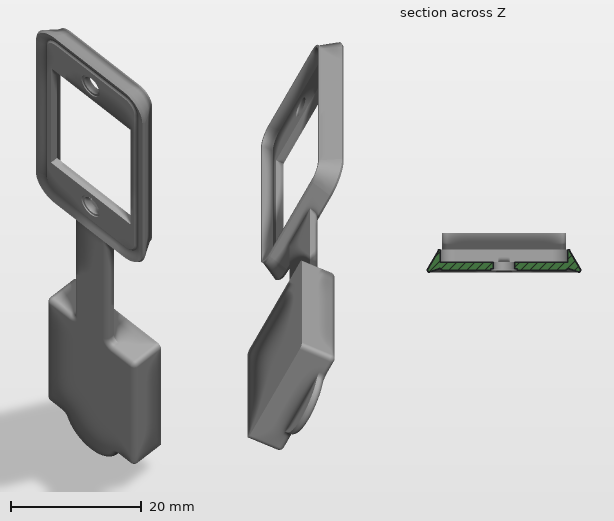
import cadquery as cq

total_height = 93.74
total_depth = 6.1

frame_width = 23.62
frame_height = 40.35
frame_depth = 3.5
corner_radius = 4.33
rim_inset = 0.25
rim_bevel_depth = 0.38
back_inset = 1.67
back_land = 0.28
frame_z = total_height - frame_height / 2

dish_inset = 2.0
dish_depth = 0.6
pad_inset = 2.35
pad_depth = 0.35
plate_thickness = 1.3
back_wall = 0.4

window_width = 17.27
window_height = 22.86
hole_diameter = 3.15
counterbore_diameter = 3.95
counterbore_depth = 0.2
hole_spacing = 29.0

front_setback = 0.25
edge_radius = 0.8
strap_width = 7.12
strap_thickness = 1.6
strap_overlap = 1.2
strap_corner_radius = 1.0
cap_width = 19.05
cap_height = 24.55
cap_bottom_z = 4.15
cap_top_z = cap_bottom_z + cap_height
tab_radius = 5.85
tab_thickness = 1.3
tab_corner_radius = 1.0
pick_margin = 0.1
strap_top_z = total_height - frame_height + strap_overlap


def front_plane(y):
    """Sketch plane at depth y; local x is X, local y is Z, and negative extrusion runs towards +Y."""
    return cq.Workplane(cq.Plane(origin=(0, y, 0), xDir=(1, 0, 0), normal=(0, -1, 0)))


def frame_outline(inset, y):
    """Rounded rectangle lying inside the widest frame outline by the given inset."""
    block = (
        front_plane(y)
        .center(0, frame_z)
        .rect(frame_width - 2 * inset, frame_height - 2 * inset)
        .extrude(-1)
        .edges("|Y")
        .fillet(corner_radius - inset)
    )
    return block.faces("<Y").val().outerWire()


def frame_layer(front_inset, front_y, rear_inset, rear_y):
    """Solid with straight sides between two frame outlines at different depths."""
    outlines = [frame_outline(front_inset, front_y), frame_outline(rear_inset, rear_y)]
    return cq.Workplane(cq.Solid.makeLoft(outlines, True))


def make_frame_body():
    """Outer shape of the frame: bevelled rim, leaning wall and straight land at the back."""
    land_y = frame_depth - back_land
    rim = frame_layer(rim_inset, 0, 0, rim_bevel_depth)
    wall = frame_layer(0, rim_bevel_depth, back_inset, land_y)
    land = frame_layer(back_inset, land_y, back_inset, frame_depth)
    return rim.union(wall).union(land)


def make_dish():
    """Material removed from the front: a shallow dish less the bevelled pad standing in it."""
    dish = frame_layer(rim_inset, 0, dish_inset, dish_depth)
    pad = frame_layer(pad_inset, pad_depth, dish_inset, dish_depth)
    return dish.cut(pad)


def make_back_recess():
    """Recess that thins the frame to a plate behind the pad."""
    inset = back_inset + back_wall
    return frame_layer(inset, pad_depth + plate_thickness, inset, frame_depth)


def make_window():
    return front_plane(0).center(0, frame_z).rect(window_width, window_height).extrude(-frame_depth)


def make_screw_hole(z):
    """Through hole with a shallow counterbore sunk into the pad face."""
    counterbore_bottom = pad_depth + counterbore_depth
    hole = front_plane(0).center(0, z).circle(hole_diameter / 2).extrude(-frame_depth)
    counterbore = front_plane(0).center(0, z).circle(counterbore_diameter / 2).extrude(-counterbore_bottom)
    return hole.union(counterbore)


def round_roots(flap, z, radius):
    """Round the inner corners where the strap or the tab meets the cap edge at height z."""
    reach = cap_width / 2 - edge_radius
    near_edge = cq.selectors.BoxSelector(
        (-reach, 0, z - pick_margin), (reach, total_depth, z + pick_margin)
    )
    return flap.edges("|Y").edges(near_edge).fillet(radius)


def make_flap():
    """Cap block with the strap above it and the round pull tab below, front edges rounded."""
    cap_depth = total_depth - front_setback
    cap_z = (cap_bottom_z + cap_top_z) / 2
    cap = front_plane(front_setback).center(0, cap_z).rect(cap_width, cap_height).extrude(-cap_depth)
    cap = cap.edges("|Y").fillet(edge_radius)

    strap_height = strap_top_z - cap_z
    strap = (
        front_plane(front_setback)
        .center(0, cap_z + strap_height / 2)
        .rect(strap_width, strap_height)
        .extrude(-strap_thickness)
    )
    tab = front_plane(front_setback).center(0, tab_radius).circle(tab_radius).extrude(-tab_thickness)
    flap = cap.union(strap).union(tab)

    flap = round_roots(flap, cap_top_z, strap_corner_radius)
    flap = round_roots(flap, cap_bottom_z, tab_corner_radius)
    return flap.faces("<Y").edges("not >Z").fillet(edge_radius)


result = make_frame_body().union(make_flap()).cut(make_dish())
result = result.cut(make_back_recess()).cut(make_window())
for side in (-1, 1):
    result = result.cut(make_screw_hole(frame_z + side * hole_spacing / 2))